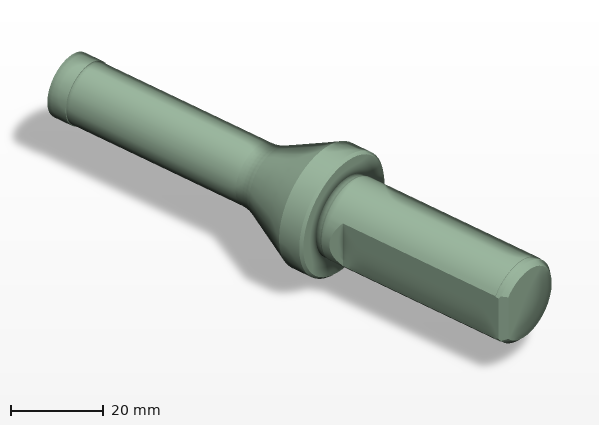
import cadquery as cq
import math

total_length = 125.0
tip_length = 5.0
blend_start = 51.2
flange_start = 68.8
flange_end = 75.0
relief_end = 76.2

tip_radius = 7.7
stem_radius = 7.5
flange_radius = 15.0
shank_radius = 10.0
relief_depth = 0.1
relief_taper = 0.4

blend_radius = 10.0
cone_angle = math.radians(26)
flange_chamfer = 0.6
end_land_length = 2.4
end_chamfer = 1.1

flat_offset = 8.1
flat_start = 81.0
ramp_angle = math.radians(40)
flat_end_chamfer = 1.5


def blend_point(angle):
    """Point on the concave blend where its tangent has the given slope angle."""
    return (
        blend_start + blend_radius * math.sin(angle),
        stem_radius + blend_radius * (1 - math.cos(angle)),
    )


def make_body():
    """Revolve the stepped half outline about the X axis."""
    relief_radius = shank_radius - relief_depth
    outline = (
        cq.Workplane("XY")
        .lineTo(0, tip_radius)
        .lineTo(tip_length, tip_radius)
        .lineTo(tip_length, stem_radius)
        .lineTo(blend_start, stem_radius)
        .threePointArc(blend_point(cone_angle / 2), blend_point(cone_angle))
        .lineTo(flange_start, flange_radius)
        .lineTo(flange_end - flange_chamfer, flange_radius)
        .lineTo(flange_end, flange_radius - flange_chamfer)
        .lineTo(flange_end, relief_radius)
        .lineTo(relief_end, relief_radius)
        .lineTo(relief_end + relief_taper, shank_radius)
        .lineTo(total_length - end_land_length, shank_radius)
        .lineTo(total_length - end_land_length, relief_radius)
        .lineTo(total_length - end_chamfer, relief_radius)
        .lineTo(total_length, relief_radius - end_chamfer)
        .lineTo(total_length, 0)
        .close()
    )
    return outline.revolve(360, (0, 0, 0), (1, 0, 0))


def make_flat_cutter():
    """Block below the flat, with a sloping run-out toward the flange and an end chamfer."""
    cutter_depth = shank_radius - flat_offset
    ramp_length = cutter_depth / math.tan(ramp_angle)
    return (
        cq.Workplane("XY")
        .moveTo(flat_start, -flat_offset)
        .lineTo(total_length - flat_end_chamfer, -flat_offset)
        .lineTo(total_length, -flat_offset + flat_end_chamfer)
        .lineTo(total_length, -shank_radius)
        .lineTo(flat_start - ramp_length, -shank_radius)
        .close()
        .extrude(shank_radius, both=True)
    )


result = make_body().cut(make_flat_cutter())